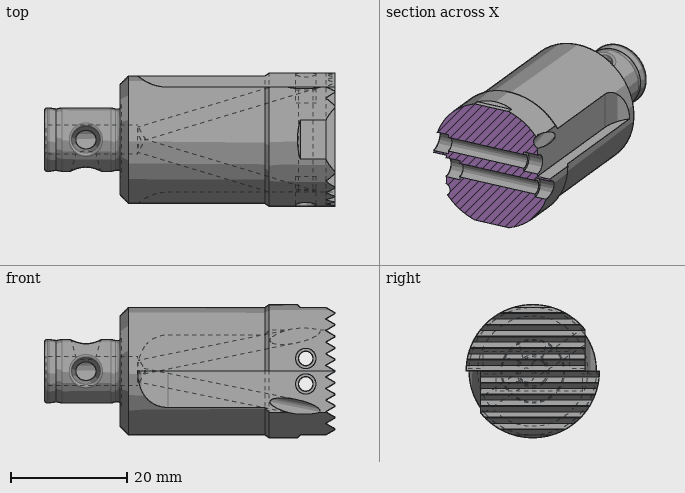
import cadquery as cq
import math

total_length = 50.1

shank_dia = 11.0
neck_dia = 10.6
shank_end_round = 0.5
groove_start = 0.8
groove_root = 2.0
groove_end = 3.05
neck_taper_start = 11.5
neck_start = 12.25
undercut_start = 12.7
undercut_round = 0.55
undercut_angle = 15.0
undercut_mouth_dia = 13.6

bore_dia = 5.0
bore_chamfer = 0.3
bore_depth = 16.0
drill_tip_angle = 118.0
pocket_x = 7.15
pocket_inner_dia = 3.5
pocket_half_angle = 15.0
pocket_edge_round = 0.4

body_start = 13.0
body_dia = 22.0
body_chamfer = 1.5
collar_dia = 23.0
collar_ramp_start = 38.0
collar_ramp_end = 38.75

collar_flat_start = 44.1
collar_flat_z = body_dia / 2
collar_step = (collar_dia - body_dia) / 2

flute_wall_y = 9.05
flute_straight_start = 21.3
flute_runout_radius = 8.0

tooth_pitch = 2.0
tooth_depth = 1.6
tooth_angle = 60.0
tooth_gaps = 12

cross_hole_x = 45.05
cross_hole_z = 2.2
cross_hole_dia = 2.46
counterbore_dia = 3.5
counterbore_depth = 2.7

coolant_dia = 2.5
coolant_exit_x = 43.3
coolant_exit_radius = 10.95
coolant_tilt = 20.0
coolant_roll = 34.0

axis_start = (0, 0, 0)
axis_end = (1, 0, 0)
past_part = collar_dia


def opposite(shape):
    return shape.rotate(axis_start, axis_end, 180)


def revolve_about_x(profile):
    return profile.close().revolve(360, axis_start, axis_end)


def make_turned_body():
    shank_r = shank_dia / 2
    neck_r = neck_dia / 2
    body_r = body_dia / 2
    collar_r = collar_dia / 2
    mouth_r = undercut_mouth_dia / 2
    tilt = math.radians(undercut_angle)
    half_tilt = (tilt - math.pi / 2) / 2
    arc_center_r = neck_r + undercut_round

    def undercut_point(angle):
        x = undercut_start + undercut_round * math.cos(angle)
        return (x, arc_center_r + undercut_round * math.sin(angle))

    end_round_mid = shank_end_round * (1 - math.sqrt(0.5))
    profile = (
        cq.Workplane("XY")
        .moveTo(0, 0)
        .lineTo(0, shank_r - shank_end_round)
        .threePointArc((end_round_mid, shank_r - end_round_mid), (shank_end_round, shank_r))
        .lineTo(groove_start, shank_r)
        .lineTo(groove_root, neck_r)
        .lineTo(groove_end, shank_r)
        .lineTo(neck_taper_start, shank_r)
        .lineTo(neck_start, neck_r)
        .lineTo(undercut_start, neck_r)
        .threePointArc(undercut_point(half_tilt), undercut_point(tilt))
        .lineTo(body_start, mouth_r)
        .lineTo(body_start, body_r - body_chamfer)
        .lineTo(body_start + body_chamfer, body_r)
        .lineTo(collar_ramp_start, body_r)
        .lineTo(collar_ramp_end, collar_r)
        .lineTo(total_length, collar_r)
        .lineTo(total_length, 0)
    )
    return revolve_about_x(profile)


def make_bore():
    bore_r = bore_dia / 2
    tip_length = bore_r / math.tan(math.radians(drill_tip_angle / 2))
    profile = (
        cq.Workplane("XY")
        .moveTo(0, 0)
        .lineTo(0, bore_r + bore_chamfer)
        .lineTo(bore_chamfer, bore_r)
        .lineTo(bore_depth, bore_r)
        .lineTo(bore_depth + tip_length, 0)
    )
    return revolve_about_x(profile)


def make_pocket():
    """Cone about Z that widens outwards from the shank axis."""
    slope = math.tan(math.radians(pocket_half_angle))
    axis_r = pocket_inner_dia / 2 - slope * bore_dia / 2
    outer_r = axis_r + slope * shank_dia
    cone = cq.Solid.makeCone(axis_r, outer_r, shank_dia, pnt=cq.Vector(pocket_x, 0, 0))
    return cq.Workplane(obj=cone)


def cut_pockets(part):
    """Pockets open at +Z and -Y, cut and edge-rounded before the bore breaks into them."""
    top_pocket = make_pocket()
    front_pocket = top_pocket.rotate(axis_start, axis_end, 90)
    part = part.cut(top_pocket).cut(front_pocket)
    shank_r = shank_dia / 2
    for rim_point in ((pocket_x, 0, shank_r), (pocket_x, -shank_r, 0)):
        rim = cq.selectors.NearestToPointSelector(rim_point)
        part = part.edges(rim).fillet(pocket_edge_round)
    return part


def make_flute():
    """Cutter for the flute at +Y, above the Z = 0 plane, with a round run-out."""
    runout_center_y = flute_wall_y + flute_runout_radius
    straight_length = total_length - flute_straight_start
    straight = cq.Workplane("XY").box(
        straight_length, past_part, past_part, centered=False
    ).translate((flute_straight_start, flute_wall_y, 0))
    runout = (
        cq.Workplane("XY")
        .center(flute_straight_start, runout_center_y)
        .circle(flute_runout_radius)
        .extrude(past_part)
    )
    return straight.union(runout)


def make_collar_flat():
    """Cutter for the top flat, entered over a 45 degree step."""
    return (
        cq.Workplane("XZ")
        .moveTo(total_length, collar_flat_z)
        .lineTo(collar_flat_start, collar_flat_z)
        .lineTo(collar_flat_start - 2 * collar_step, collar_flat_z + 2 * collar_step)
        .lineTo(total_length, collar_flat_z + 2 * collar_step)
        .close()
        .extrude(past_part, both=True)
    )


def make_tooth_gap(z):
    half_width = tooth_depth * math.tan(math.radians(tooth_angle / 2))
    return (
        cq.Workplane("XZ")
        .moveTo(total_length - tooth_depth, z)
        .lineTo(total_length, z + half_width)
        .lineTo(total_length, z - half_width)
        .close()
        .extrude(past_part, both=True)
    )


def cylinder_along_y(dia, z, y_from, y_to):
    return (
        cq.Workplane("XZ", origin=(cross_hole_x, y_from, z))
        .circle(dia / 2)
        .extrude(y_from - y_to)
    )


def make_cross_hole():
    """Hole above the axis: from the collar surface at -Y to the flute wall at +Y."""
    collar_y = -math.sqrt((collar_dia / 2) ** 2 - cross_hole_z ** 2)
    hole = cylinder_along_y(cross_hole_dia, cross_hole_z, -past_part, past_part)
    collar_bore = cylinder_along_y(
        counterbore_dia, cross_hole_z, -past_part, collar_y + counterbore_depth)
    flute_bore = cylinder_along_y(
        counterbore_dia, cross_hole_z, flute_wall_y - counterbore_depth, past_part)
    return hole.union(collar_bore).union(flute_bore)


def make_coolant_hole():
    """Hole that leaves the X axis inside the bore and exits in the +Y, +Z flute."""
    tilt = math.radians(coolant_tilt)
    start_x = coolant_exit_x - coolant_exit_radius / math.tan(tilt)
    direction = cq.Vector(math.cos(tilt), math.sin(tilt), 0)
    hole = cq.Solid.makeCylinder(
        coolant_dia / 2, total_length, cq.Vector(start_x, 0, 0), direction)
    return cq.Workplane(obj=hole).rotate(axis_start, axis_end, coolant_roll)


part = cut_pockets(make_turned_body())
part = part.cut(make_bore())
for cutter in (make_flute(), make_collar_flat(), make_cross_hole(), make_coolant_hole()):
    part = part.cut(cutter).cut(opposite(cutter))
first_gap_z = -(tooth_gaps - 1) / 2 * tooth_pitch
for gap in range(tooth_gaps):
    part = part.cut(make_tooth_gap(first_gap_z + gap * tooth_pitch))
result = part